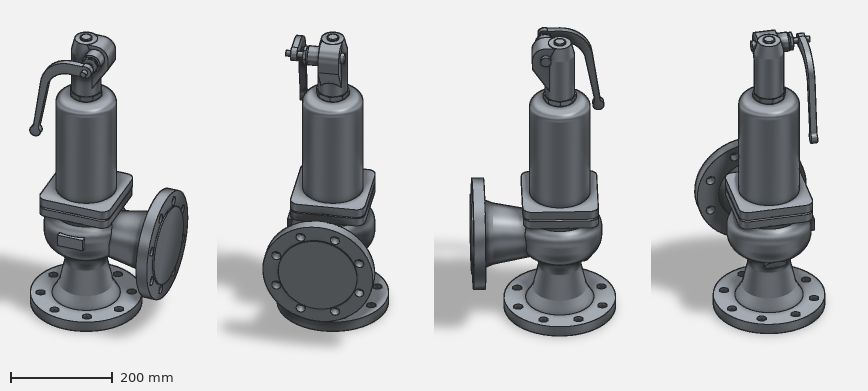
import cadquery as cq
import math

total_length = 285.0
flange_radius = 220.0 / 2
flange_back = 25.0
sealing_radius = 158.0 / 2
sealing_height = 3.0
bolt_count = 8
bolt_circle_radius = 90.0
bolt_hole_diameter = 18.0
outlet_reach = total_length - flange_radius
outlet_height = 175.0

hub_radius = 67.5
hub_top_radius = 53.5
hub_top_z = 49.0
throat_radius = 42.0
throat_z = 101.5
bulge_radius = 83.0
bulge_low_z = 173.5
bulge_high_z = 189.5
flare_join_radius = 60.0
flare_join_z = 137.0
collar_radius = 63.5
collar_low_z = 218.0
neck_radius = 62.0
neck_z = 224.0
neck_top_radius = 66.0

outlet_hub_radius = 134.0 / 2
outlet_back = 26.0
outlet_cone_radius = 60.5
outlet_cone_x = 132.0
outlet_root_radius = 35.5

plate_half = 149.0 / 2
plate_corner = 17.5
lower_plate_right = 73.0
lower_plate_z = 232.5
gasket_z = 249.5
gasket_radius = 68.0
upper_plate_z = 253.0
bonnet_z = 271.0

bonnet_radius = 60.0
bonnet_top_z = 485.0
bonnet_fillet = 15.0
stem_radius = 24.5
nut_z = 489.5
nut_corner_radius = 33.0
nut_chamfer = 3.0
cap_z = 501.0
cap_radius = 29.0
cap_cone_z = 593.0
cap_top_radius = 22.5
cap_top_z = 620.0
button_radius = 12.0
button_chamfer = 2.0
total_height = 623.5

spindle_x = 28.0
spindle_z = 593.0
spindle_radius = 5.9
spindle_end_y = -88.5
lug_half_width = 20.5
lug_radius = 26.0
lug_straight_z = 571.0
lug_root_x = 19.0
lug_root_z = 516.0
boss_radius = 38.0 / 2
boss_end_y = -43.5
gland_radius = 14.5
gland_nut_y = -47.5
gland_nut_end_y = -53.0
gland_nut_corner_radius = 35.5 / 2
pin_radius = 20.5 / 2
pin_end_y = 28.5

lever_back_y = -65.5
lever_thickness = 12.5
eye_radius = 13.0
arm_half_width = 12.0
bend_start_x = -2.5
bend_outer_x = -66.0
bend_outer_z = 548.0
bend_inner_x = -51.0
bend_inner_z = 546.0
knob_radius = 22.0 / 2
knob_x = -78.0
knob_z = 430.0
grip_half_width = 5.0
knob_fillet = 7.5

drain_radius = 44.0 / 2
drain_x = -57.5
drain_z = 129.0
drain_tilt = 41.0
drain_depth = 43.5
nameplate_width = 53.0
nameplate_low_z = 179.0
nameplate_high_z = 203.0
nameplate_y = -86.0
nameplate_depth = 19.0


def cylinder(radius, z_low, z_high):
    return cq.Workplane("XY", origin=(0, 0, z_low)).circle(radius).extrude(z_high - z_low)


def spindle_plane(y):
    """XZ workplane on the spindle axis; extruding goes toward -Y."""
    return cq.Workplane("XZ", origin=(spindle_x, y, spindle_z))


def spindle_cylinder(radius, y_back, y_front):
    return spindle_plane(y_back).circle(radius).extrude(y_back - y_front)


def flange(back):
    """Drilled flange with its sealing face at Z = 0 and its back at the given height."""
    disc = cylinder(flange_radius, sealing_height, back)
    disc = disc.union(cylinder(sealing_radius, 0, sealing_height))
    holes = (
        cq.Workplane("XY")
        .polarArray(bolt_circle_radius, 180 / bolt_count, 360, bolt_count)
        .circle(bolt_hole_diameter / 2)
        .extrude(back)
    )
    return disc.cut(holes)


def tangent_radius(run, rise):
    """Radius of an arc leaving vertically and moving sideways by run over rise."""
    return (run ** 2 + rise ** 2) / (2 * run)


def body():
    """Inlet nozzle, throat flare and bulge as one turned profile."""
    belly_arc = tangent_radius(bulge_radius - flare_join_radius, bulge_low_z - flare_join_z)
    flare_arc = tangent_radius(flare_join_radius - throat_radius, flare_join_z - throat_z)
    shoulder_arc = tangent_radius(bulge_radius - collar_radius, collar_low_z - bulge_high_z)
    profile = (
        cq.Workplane("XZ")
        .moveTo(0, sealing_height)
        .lineTo(hub_radius, sealing_height)
        .lineTo(hub_radius, flange_back)
        .lineTo(hub_top_radius, hub_top_z)
        .lineTo(throat_radius, throat_z)
        .radiusArc((flare_join_radius, flare_join_z), flare_arc)
        .radiusArc((bulge_radius, bulge_low_z), -belly_arc)
        .lineTo(bulge_radius, bulge_high_z)
        .radiusArc((collar_radius, collar_low_z), -shoulder_arc)
        .lineTo(neck_radius, neck_z)
        .lineTo(neck_top_radius, lower_plate_z)
        .lineTo(0, lower_plate_z)
        .close()
    )
    return profile.revolve(360, (0, 0), (0, 1))


def outlet():
    """Conical outlet nozzle with its flange."""
    nozzle = (
        cq.Workplane("XY")
        .moveTo(0, 0)
        .lineTo(0, outlet_root_radius)
        .lineTo(outlet_cone_x, outlet_cone_radius)
        .lineTo(outlet_reach - outlet_back, outlet_hub_radius)
        .lineTo(outlet_reach - outlet_back, 0)
        .close()
        .revolve(360, (0, 0), (1, 0))
        .translate((0, 0, outlet_height))
    )
    outlet_flange = (
        flange(outlet_back)
        .rotate((0, 0, 0), (0, 1, 0), -90)
        .translate((outlet_reach, 0, outlet_height))
    )
    return nozzle.union(outlet_flange)


def drain_boss():
    """Plain round boss at the back of the throat, facing down and toward -X."""
    tilt = math.radians(drain_tilt)
    face = cq.Plane(
        origin=(drain_x, 0, drain_z),
        xDir=(0, 1, 0),
        normal=(math.cos(tilt), 0, math.sin(tilt)),
    )
    return cq.Workplane(face).circle(drain_radius).extrude(drain_depth)


def nameplate():
    height = nameplate_high_z - nameplate_low_z
    return (
        cq.Workplane("XY")
        .box(nameplate_width, nameplate_depth, height, centered=(True, False, False))
        .translate((0, nameplate_y, nameplate_low_z))
    )


def square_plate(right_x, z_low, z_high):
    width = right_x + plate_half
    return (
        cq.Workplane("XY", origin=((right_x - plate_half) / 2, 0, z_low))
        .rect(width, 2 * plate_half)
        .extrude(z_high - z_low)
        .edges("|Z")
        .fillet(plate_corner)
    )


def plates():
    lower = square_plate(lower_plate_right, lower_plate_z, gasket_z)
    upper = square_plate(plate_half, upper_plate_z, bonnet_z)
    return lower.union(cylinder(gasket_radius, gasket_z, upper_plate_z)).union(upper)


def bonnet():
    return cylinder(bonnet_radius, bonnet_z, bonnet_top_z).faces(">Z").edges().fillet(bonnet_fillet)


def cap():
    """Stem, octagonal nut, tapered cap and top button."""
    stem = cylinder(stem_radius, bonnet_top_z, nut_z)
    nut = cq.Workplane("XY", origin=(0, 0, nut_z)).polygon(8, 2 * nut_corner_radius).extrude(cap_z - nut_z)
    nut_round = cylinder(nut_corner_radius, nut_z, cap_z).faces("<Z").chamfer(nut_chamfer)
    barrel = cylinder(cap_radius, cap_z, cap_cone_z)
    taper = (
        cq.Workplane("XY", origin=(0, 0, cap_cone_z))
        .circle(cap_radius)
        .workplane(offset=cap_top_z - cap_cone_z)
        .circle(cap_top_radius)
        .loft()
    )
    button = cylinder(button_radius, cap_top_z, total_height).faces(">Z").chamfer(button_chamfer)
    return stem.union(nut.intersect(nut_round)).union(barrel).union(taper).union(button)


def lug():
    """Block on the side of the cap that carries the spindle."""
    right_x = spindle_x + lug_radius
    top_z = spindle_z + lug_radius
    return (
        cq.Workplane("XZ", origin=(0, lug_half_width, 0))
        .moveTo(0, lug_root_z)
        .lineTo(lug_root_x, lug_root_z)
        .lineTo(right_x, lug_straight_z)
        .lineTo(right_x, spindle_z)
        .radiusArc((spindle_x, top_z), -lug_radius)
        .lineTo(0, top_z)
        .close()
        .extrude(2 * lug_half_width)
    )


def spindle():
    """Spindle with its boss, gland, hexagonal gland nut and rear pin."""
    gland_nut = (
        spindle_plane(gland_nut_y)
        .polygon(6, 2 * gland_nut_corner_radius)
        .extrude(gland_nut_y - gland_nut_end_y)
    )
    return (
        spindle_cylinder(boss_radius, -lug_half_width, boss_end_y)
        .union(spindle_cylinder(gland_radius, boss_end_y, gland_nut_y))
        .union(gland_nut)
        .union(spindle_cylinder(spindle_radius, gland_nut_end_y, spindle_end_y))
        .union(spindle_cylinder(pin_radius, pin_end_y, lug_half_width))
    )


def bend_inner_middle(arm_bottom):
    """Midpoint of the inner bend arc, which meets the arm's lower edge tangentially."""
    run = bend_start_x - bend_inner_x
    drop = arm_bottom - bend_inner_z
    radius = tangent_radius(drop, run)
    half_sweep = math.asin(run / radius) / 2
    return (
        bend_start_x - radius * math.sin(half_sweep),
        arm_bottom - radius * (1 - math.cos(half_sweep)),
    )


def lever():
    """Flat bent lever: round eye, curved arm tapering to a round knob."""
    blank = cq.Workplane("XZ", origin=(0, lever_back_y, 0))
    arm_top = spindle_z + arm_half_width
    arm_bottom = spindle_z - arm_half_width
    arm = (
        blank.moveTo(spindle_x, arm_top)
        .lineTo(bend_start_x, arm_top)
        .tangentArcPoint((bend_outer_x, bend_outer_z), relative=False)
        .lineTo(knob_x - grip_half_width, knob_z)
        .lineTo(knob_x + grip_half_width, knob_z)
        .lineTo(bend_inner_x, bend_inner_z)
        .threePointArc(bend_inner_middle(arm_bottom), (bend_start_x, arm_bottom))
        .lineTo(spindle_x, arm_bottom)
        .close()
        .extrude(lever_thickness)
    )
    eye = spindle_plane(lever_back_y).circle(eye_radius).extrude(lever_thickness)
    knob = blank.center(knob_x, knob_z).circle(knob_radius).extrude(lever_thickness)
    knob_corners = cq.selectors.BoxSelector(
        (knob_x - knob_radius, lever_back_y - lever_thickness, knob_z + grip_half_width),
        (knob_x + knob_radius, lever_back_y, knob_z + knob_radius),
    )
    return arm.union(knob).edges("|Y").edges(knob_corners).fillet(knob_fillet).union(eye)


result = body()
for feature in (
    flange(flange_back),
    outlet(),
    drain_boss(),
    nameplate(),
    plates(),
    bonnet(),
    cap(),
    lug(),
    spindle(),
    lever(),
):
    result = result.union(feature)